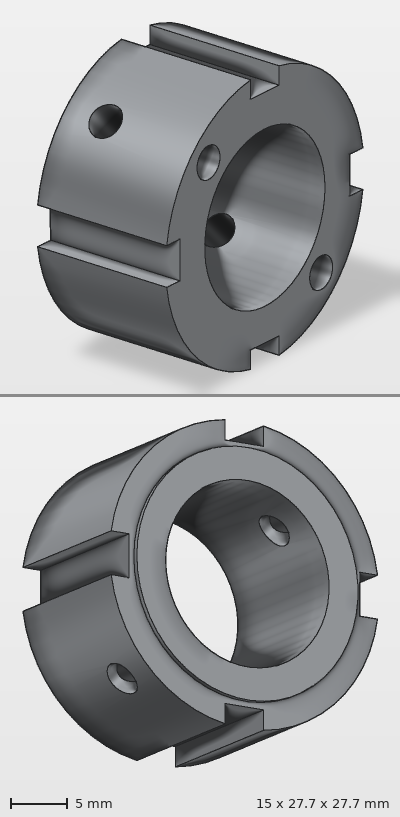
import cadquery as cq
import math

length = 15.0
collar_length = 0.5
collar_diameter = 23.0
bore_diameter = 17.0

outer_span = 27.7
slot_width = 4.0
slot_floor_distance = 12.0
outer_radius = math.hypot(outer_span / 2, slot_width / 2)

hole_diameter = 3.3
hole_x = 5.0
hole_angles = [135.0, 315.0]

axial_hole_diameter = 3.25
axial_hole_radius = (outer_radius + bore_diameter / 2) / 2


def make_ring():
    collar = cq.Workplane("YZ").circle(collar_diameter / 2).extrude(collar_length)
    body = (
        cq.Workplane("YZ", origin=(collar_length, 0, 0))
        .circle(outer_radius)
        .extrude(length - collar_length)
    )
    bore = cq.Workplane("YZ").circle(bore_diameter / 2).extrude(length)
    return collar.union(body).cut(bore)


def make_slot(angle):
    slot_depth = outer_radius - slot_floor_distance
    slot = cq.Workplane("XY").box(length, 2 * slot_depth, slot_width, centered=(False, False, True))
    return slot.translate((0, slot_floor_distance, 0)).rotate((0, 0, 0), (1, 0, 0), angle)


def make_radial_hole(angle):
    hole = cq.Solid.makeCylinder(
        hole_diameter / 2, 2 * outer_radius, cq.Vector(hole_x, 0, 0), cq.Vector(0, 1, 0)
    )
    return cq.Workplane(obj=hole).rotate((0, 0, 0), (1, 0, 0), angle)


def make_axial_hole(angle):
    hole = cq.Solid.makeCylinder(
        axial_hole_diameter / 2,
        length - hole_x,
        cq.Vector(hole_x, axial_hole_radius, 0),
        cq.Vector(1, 0, 0),
    )
    return cq.Workplane(obj=hole).rotate((0, 0, 0), (1, 0, 0), angle)


result = make_ring()
for slot_angle in range(0, 360, 90):
    result = result.cut(make_slot(slot_angle))
for hole_angle in hole_angles:
    result = result.cut(make_radial_hole(hole_angle))
    result = result.cut(make_axial_hole(hole_angle))